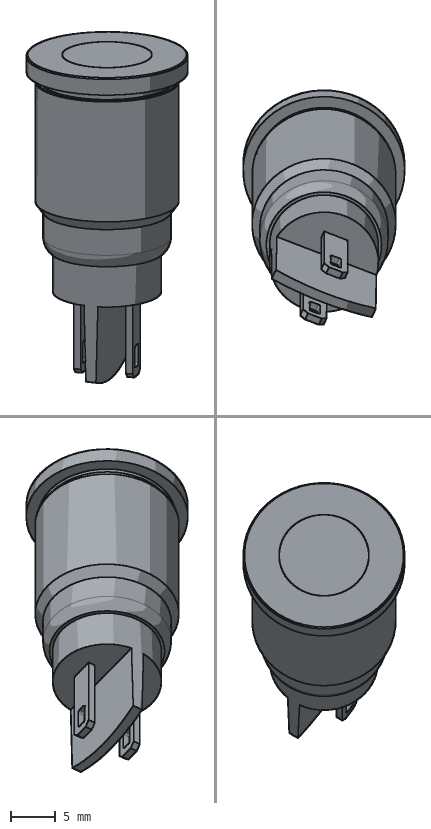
import cadquery as cq

FLANGE_DIAMETER = 18.0
NECK_DIAMETER = 15.0
NECK_ROOT_DIAMETER = 15.37
BODY_DIAMETER = 16.0
COLLAR_DIAMETER = 14.3
COLLAR_END_DIAMETER = 12.82
STEM_DIAMETER = 12.1
BUTTON_DIAMETER = 9.97
BUTTON_BORE_DIAMETER = 10.0

TOP_Z = 37.5
FLANGE_BOTTOM_Z = 35.5
NECK_TOP_Z = 35.25
BODY_TOP_Z = 34.53
BODY_BOTTOM_Z = 20.47
COLLAR_TOP_Z = 19.3
COLLAR_ROUND_Z = 16.35
STEM_TOP_Z = 14.77
STEM_BOTTOM_Z = 9.97

FLANGE_CHAMFER = 0.15
BODY_CHAMFER = 0.1
BUTTON_GAP_DEPTH = 0.2

TERMINAL_OFFSET = 3.05
TERMINAL_THICKNESS = 0.82
TERMINAL_WIDTH = 2.85
TERMINAL_BOTTOM_Z = 0.5
TERMINAL_CHAMFER = 0.6
EYE_WIDTH = 1.27
EYE_HEIGHT = 2.5
EYE_CENTER_Z = 2.8
EYE_CORNER_RADIUS = 0.25

BLADE_ROOT_THICKNESS = 1.6
BLADE_TIP_THICKNESS = 1.12
BLADE_EDGE_Z = 1.15
OVERLAP = 0.37


def make_housing():
    """Revolve the stepped housing, with a rounded lower end on the collar."""
    collar_radius = COLLAR_DIAMETER / 2
    round_inset = collar_radius - COLLAR_END_DIAMETER / 2
    round_height = COLLAR_ROUND_Z - STEM_TOP_Z
    round_radius = (round_inset**2 + round_height**2) / (2 * round_inset)
    middle_drop = round_height / 2
    middle_radius = collar_radius - round_radius + (round_radius**2 - middle_drop**2) ** 0.5

    profile = (
        cq.Workplane("XZ")
        .moveTo(0, TOP_Z)
        .lineTo(FLANGE_DIAMETER / 2 - FLANGE_CHAMFER, TOP_Z)
        .lineTo(FLANGE_DIAMETER / 2, TOP_Z - FLANGE_CHAMFER)
        .lineTo(FLANGE_DIAMETER / 2, FLANGE_BOTTOM_Z)
        .lineTo(NECK_ROOT_DIAMETER / 2, FLANGE_BOTTOM_Z)
        .lineTo(NECK_DIAMETER / 2, NECK_TOP_Z)
        .lineTo(NECK_DIAMETER / 2, BODY_TOP_Z)
        .lineTo(BODY_DIAMETER / 2 - BODY_CHAMFER, BODY_TOP_Z)
        .lineTo(BODY_DIAMETER / 2, BODY_TOP_Z - BODY_CHAMFER)
        .lineTo(BODY_DIAMETER / 2, BODY_BOTTOM_Z)
        .lineTo(collar_radius, COLLAR_TOP_Z)
        .lineTo(collar_radius, COLLAR_ROUND_Z)
        .threePointArc(
            (middle_radius, COLLAR_ROUND_Z - middle_drop),
            (COLLAR_END_DIAMETER / 2, STEM_TOP_Z),
        )
        .lineTo(STEM_DIAMETER / 2, STEM_TOP_Z)
        .lineTo(STEM_DIAMETER / 2, STEM_BOTTOM_Z)
        .lineTo(0, STEM_BOTTOM_Z)
        .close()
    )
    return profile.revolve(360, (0, 0, 0), (0, 1, 0))


def make_button_gap():
    """Thin ring that separates the button from the flange."""
    return (
        cq.Workplane("XY", origin=(0, 0, TOP_Z - BUTTON_GAP_DEPTH))
        .circle(BUTTON_BORE_DIAMETER / 2)
        .circle(BUTTON_DIAMETER / 2)
        .extrude(BUTTON_GAP_DEPTH)
    )


def make_terminal(x):
    """Flat terminal with clipped lower corners and a rounded wire eye."""
    height = STEM_BOTTOM_Z + OVERLAP - TERMINAL_BOTTOM_Z
    strip = (
        cq.Workplane("XY", origin=(x, 0, TERMINAL_BOTTOM_Z))
        .rect(TERMINAL_THICKNESS, TERMINAL_WIDTH)
        .extrude(height)
        .edges("|X and <Z")
        .chamfer(TERMINAL_CHAMFER)
    )
    eye = (
        cq.Workplane("XY")
        .box(TERMINAL_THICKNESS, EYE_WIDTH, EYE_HEIGHT)
        .edges("|X")
        .fillet(EYE_CORNER_RADIUS)
        .translate((x, 0, EYE_CENTER_Z))
    )
    return strip.cut(eye)


def make_blade():
    """Tapered blade as wide as the stem, trimmed to an arc at its tip."""
    half_width = STEM_DIAMETER / 2
    half_root = BLADE_ROOT_THICKNESS / 2
    half_tip = BLADE_TIP_THICKNESS / 2
    wedge = (
        cq.Workplane("XZ")
        .moveTo(-half_tip, 0)
        .lineTo(half_tip, 0)
        .lineTo(half_root, STEM_BOTTOM_Z)
        .lineTo(half_root, STEM_BOTTOM_Z + OVERLAP)
        .lineTo(-half_root, STEM_BOTTOM_Z + OVERLAP)
        .lineTo(-half_root, STEM_BOTTOM_Z)
        .close()
        .extrude(half_width, both=True)
    )
    side_outline = (
        cq.Workplane("YZ")
        .moveTo(-half_width, BLADE_EDGE_Z)
        .threePointArc((0, 0), (half_width, BLADE_EDGE_Z))
        .lineTo(half_width, STEM_BOTTOM_Z + OVERLAP)
        .lineTo(-half_width, STEM_BOTTOM_Z + OVERLAP)
        .close()
        .extrude(half_root, both=True)
    )
    stem_envelope = cq.Workplane("XY").circle(half_width).extrude(STEM_BOTTOM_Z + OVERLAP)
    return wedge.intersect(side_outline).intersect(stem_envelope)


result = make_housing().cut(make_button_gap()).union(make_blade())
for side in (-1, 1):
    result = result.union(make_terminal(side * TERMINAL_OFFSET))